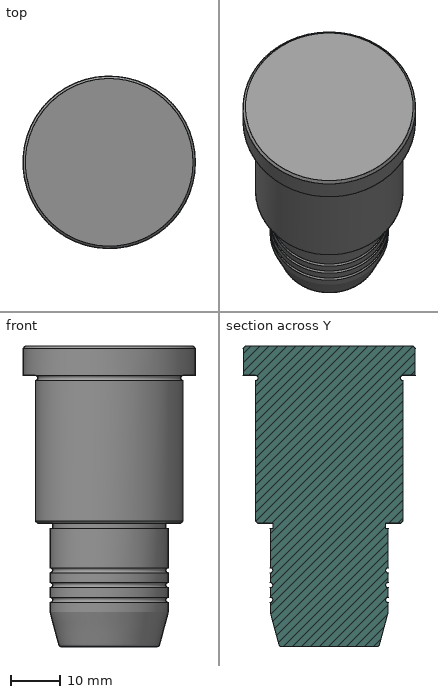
import cadquery as cq
import math

head_diameter = 35.0
body_diameter = 30.0
shank_diameter = 24.0
neck_diameter = 23.0

head_bottom = 6.0
body_bottom = 36.0
neck_bottom = 37.0
shank_bottom = 54.0
total_length = 61.0

edge_chamfer = 0.5
nose_angle = 15.0
nose_edge_radius = 0.5

groove_radius = 0.5
first_ring_groove = 45.0
ring_groove_pitch = 3.0
ring_groove_count = 3


def disc(diameter, top_depth, bottom_depth):
    """Solid cylinder about Z between two depths below the top face."""
    return (
        cq.Workplane("XY")
        .workplane(offset=-bottom_depth)
        .circle(diameter / 2)
        .extrude(bottom_depth - top_depth)
    )


def round_groove(diameter, start_depth):
    """Ring cutter for a half-round groove in a cylinder of this diameter."""
    outer_radius = diameter / 2
    return (
        cq.Workplane("XZ")
        .moveTo(outer_radius, -start_depth)
        .threePointArc(
            (outer_radius - groove_radius, -start_depth - groove_radius),
            (outer_radius, -start_depth - 2 * groove_radius),
        )
        .close()
        .revolve(360, (0, 0, 0), (0, 1, 0))
    )


def tapered_nose():
    """Cone below the shank, with its bottom edge rounded."""
    length = total_length - shank_bottom
    top_radius = shank_diameter / 2
    tip_radius = top_radius - length * math.tan(math.radians(nose_angle))
    cone = (
        cq.Workplane("XZ")
        .moveTo(0, -shank_bottom)
        .lineTo(top_radius, -shank_bottom)
        .lineTo(tip_radius, -total_length)
        .lineTo(0, -total_length)
        .close()
        .revolve(360, (0, 0, 0), (0, 1, 0))
    )
    return cone.faces("<Z").edges().fillet(nose_edge_radius)


head = disc(head_diameter, 0, head_bottom).faces(">Z").edges().chamfer(edge_chamfer)

body = disc(body_diameter, head_bottom, body_bottom).faces("<Z").edges().chamfer(edge_chamfer)
body = body.cut(round_groove(body_diameter, head_bottom))

neck = disc(neck_diameter, body_bottom, neck_bottom)

shank = disc(shank_diameter, neck_bottom, shank_bottom)
for index in range(ring_groove_count):
    shank = shank.cut(round_groove(shank_diameter, first_ring_groove + index * ring_groove_pitch))

result = head.union(body).union(neck).union(shank).union(tapered_nose())